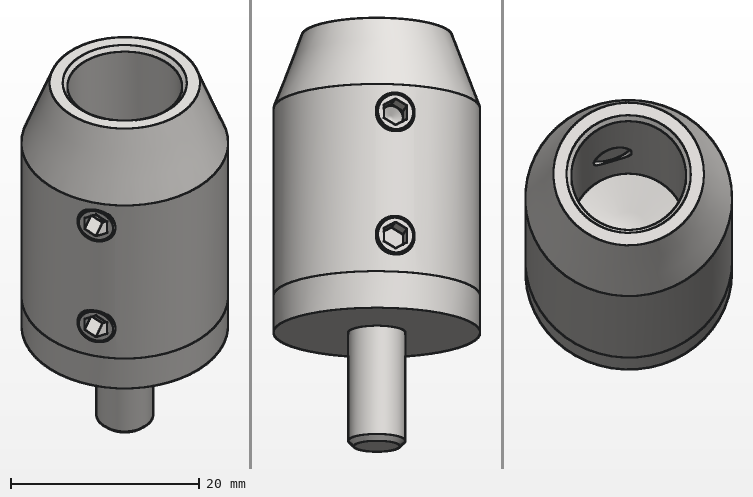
import cadquery as cq
import math


outer_d = 22.0
base_height = 4.0

housing_height = 28.5
nose_height = 8.0
nose_d = 16.0
bore_d = 12.2
bore_depth = 18.0
bore_floor_angle = 160.0
bore_chamfer = 0.5

pin_d = 6.1
pin_below_base = 12.45
pin_in_housing = 6.5
pin_chamfer = 0.6

screw_d = 4.2
screw_chamfer = 0.2
socket_across_flats = 2.5
socket_depth = 2.5
socket_drill_angle = 118.0
upper_screw_depth_from_top = 11.0
lower_screw_depth_from_top = 24.5
bore_clearance = 0.2

outer_r = outer_d / 2
bore_r = bore_d / 2
pin_r = pin_d / 2
screw_r = screw_d / 2
top_z = base_height + housing_height
pin_top_z = base_height + pin_in_housing
screw_face_y = -outer_r

upper_screw_length = outer_r - bore_r - bore_clearance
lower_screw_length = outer_r - pin_r
upper_screw_z = top_z - upper_screw_depth_from_top
lower_screw_z = top_z - lower_screw_depth_from_top


def cylinder(diameter, bottom_z, height):
    return cq.Workplane("XY", origin=(0, 0, bottom_z)).circle(diameter / 2).extrude(height)


def cone_height_from_angle(radius, included_angle):
    return radius / math.tan(math.radians(included_angle / 2))


def screw_plane(z):
    """Workplane on the outer face of a screw: local x is up, the normal points along +Y into the housing."""
    return cq.Workplane(cq.Plane(origin=(0, screw_face_y, z), xDir=(0, 0, 1), normal=(0, 1, 0)))


def make_pin():
    pin = cylinder(pin_d, -pin_below_base, pin_below_base + pin_top_z)
    return pin.faces("<Z").chamfer(pin_chamfer)


def make_base():
    return cylinder(outer_d, 0, base_height).cut(cylinder(pin_d, 0, base_height))


def make_bore():
    """Drilled bore with a conical bottom and a chamfered mouth."""
    cone_height = cone_height_from_angle(bore_r, bore_floor_angle)
    bore_floor_z = top_z - bore_depth
    mouth_r = bore_r + bore_chamfer
    profile = [
        (0, bore_floor_z - cone_height),
        (bore_r, bore_floor_z),
        (bore_r, top_z - bore_chamfer),
        (mouth_r, top_z),
        (0, top_z),
    ]
    return cq.Workplane("XZ").polyline(profile).close().revolve(360, (0, 0), (0, 1))


def make_housing():
    profile = [
        (0, base_height),
        (outer_r, base_height),
        (outer_r, top_z - nose_height),
        (nose_d / 2, top_z),
        (0, top_z),
    ]
    housing = cq.Workplane("XZ").polyline(profile).close().revolve(360, (0, 0), (0, 1))
    housing = housing.cut(make_bore())
    housing = housing.cut(cylinder(pin_d, base_height, pin_in_housing))
    for z in (upper_screw_z, lower_screw_z):
        housing = housing.cut(screw_plane(z).circle(screw_r).extrude(outer_r))
    return housing


def make_screw(z, length, has_drilled_socket):
    """Set screw with a hexagon socket; a drilled socket ends in an inscribed cone."""
    screw = screw_plane(z).circle(screw_r).extrude(length)
    screw = screw.faces("<Y").chamfer(screw_chamfer)
    across_corners = socket_across_flats / math.cos(math.pi / 6)
    screw = screw.cut(screw_plane(z).polygon(6, across_corners).extrude(socket_depth))
    if has_drilled_socket:
        cone_r = socket_across_flats / 2
        cone_height = cone_height_from_angle(cone_r, socket_drill_angle)
        cone = cq.Solid.makeCone(
            cone_r,
            0,
            cone_height,
            pnt=cq.Vector(0, screw_face_y + socket_depth, z),
            dir=cq.Vector(0, 1, 0),
        )
        screw = screw.cut(cq.Workplane(cone))
    return screw


housing = make_housing()
base = make_base()
pin = make_pin()
upper_screw = make_screw(upper_screw_z, upper_screw_length, has_drilled_socket=True)
lower_screw = make_screw(lower_screw_z, lower_screw_length, has_drilled_socket=False)

result = cq.Compound.makeCompound(
    [housing.val(), base.val(), pin.val(), upper_screw.val(), lower_screw.val()]
)